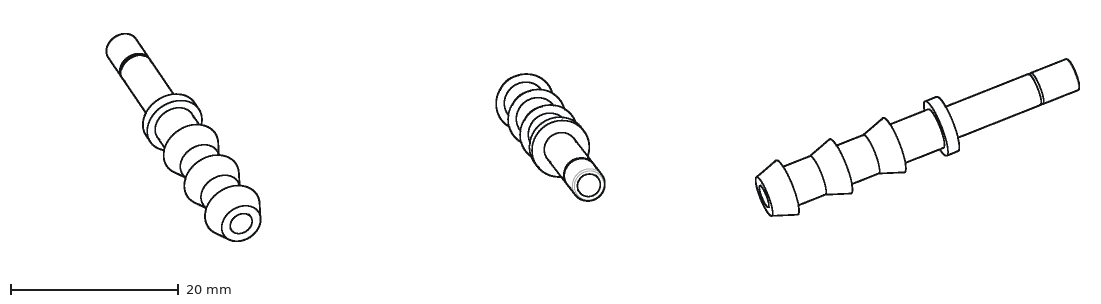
import cadquery as cq
import math

total_length = 40.5

stem_diameter = 4.0
hose_diameter = 5.0
flange_diameter = 7.0
barb_diameter = flange_diameter
bore_diameter = 2.8

tip_radius = 0.2
groove_center = 4.9
groove_radius = 0.15

flange_start = 16.5
flange_thickness = 1.5

barb_count = 3
barb_length = 3.0
barb_pitch = 7.0


def cylinder(diameter, start, length):
    return cq.Workplane("YZ", origin=(start, 0, 0)).circle(diameter / 2).extrude(length)


def turned(outline):
    """Close an outline drawn as (x, radius) and turn it about the X axis."""
    return outline.close().revolve(360, (0, 0, 0), (1, 0, 0))


def make_stem():
    radius = stem_diameter / 2
    arc_offset = tip_radius * (1 - math.sqrt(0.5))
    outline = (
        cq.Workplane("XY")
        .lineTo(0, radius - tip_radius)
        .threePointArc((arc_offset, radius - arc_offset), (tip_radius, radius))
        .lineTo(groove_center - groove_radius, radius)
        .threePointArc((groove_center, radius - groove_radius), (groove_center + groove_radius, radius))
        .lineTo(flange_start, radius)
        .lineTo(flange_start, 0)
    )
    return turned(outline)


def make_barb(start):
    end = start + barb_length
    outline = cq.Workplane("XY").polyline([
        (start, 0),
        (start, barb_diameter / 2),
        (end, hose_diameter / 2),
        (end, 0),
    ])
    return turned(outline)


flange_end = flange_start + flange_thickness
body = make_stem()
body = body.union(cylinder(flange_diameter, flange_start, flange_thickness))
body = body.union(cylinder(hose_diameter, flange_end, total_length - flange_end))

last_barb_start = total_length - barb_length
for index in range(barb_count):
    body = body.union(make_barb(last_barb_start - index * barb_pitch))

result = body.cut(cylinder(bore_diameter, 0, total_length))